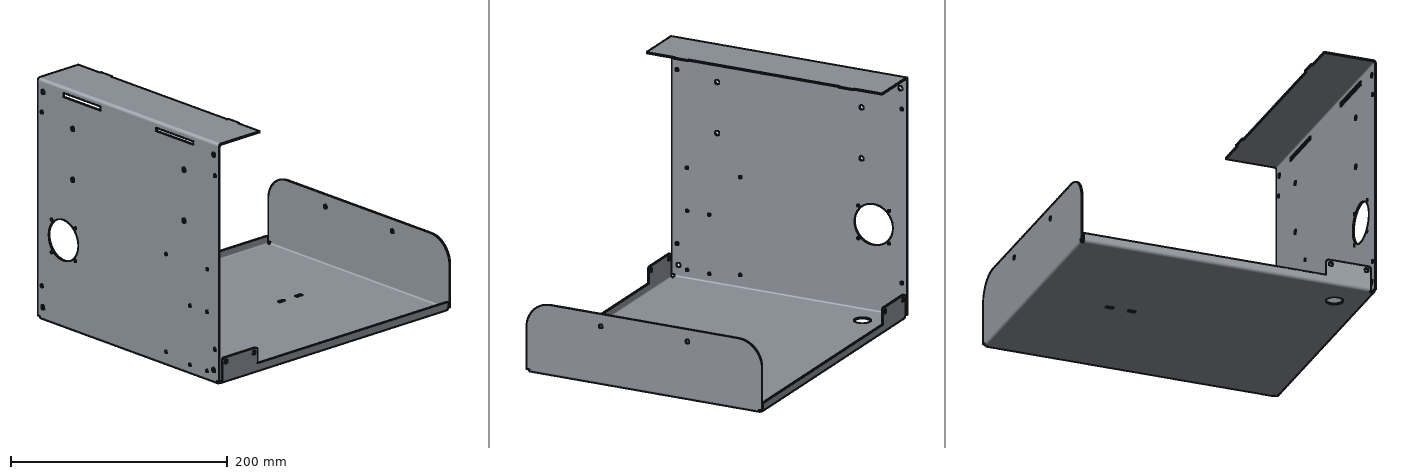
import cadquery as cq

thickness = 1.5
bend_inner_radius = 1.5
bend_radius = bend_inner_radius + thickness
width = 244.44
depth = 292.67
height = 236.5
floor_half_width = width / 2 - bend_radius
drill_length = 3 * thickness

tongue_reach = thickness
top_lip_depth = 51.5
tongue_width = 15.0
tongue_offset = 85.7

back_lip_height = 69.5
back_corner_radius = 25.0
back_hole_spacing = 90.0
back_hole_inset = 12.0
back_hole_diameter = 4.0

side_lip_height = 9.0
side_lip_front = 4.9
side_lip_back = depth - bend_radius
ear_height = 25.0
ear_length = 44.4
ear_corner_radius = 3.0
ear_hole_spacing = 35.5
ear_hole_height = 20.7
ear_hole_diameter = 4.2

floor_slot_width = 3.2
floor_slot_length = 7.0
floor_slot_spacing = 22.0
floor_slot_to_back = 88.0
floor_slot_centre_y = depth - floor_slot_to_back

cable_hole_diameter = 16.0
cable_hole_x = -90.0
cable_hole_y = 28.5

vent_length = 50.0
vent_bottom = 226.6
vent_offset = 62.5
left_vent_height = 4.0
right_vent_height = 3.2
corner_hole_diameter = 4.5
corner_hole_x = 115.2
corner_hole_z = (12.8, 224.2)
edge_hole_diameter = 3.2
edge_hole_x = 116.7
edge_hole_z = (33.5, 204.0)
mount_hole_diameter = 4.5
mount_hole_x = 75.0
mount_hole_z = (148.7, 198.7)
fan_x = -87.5
fan_z = 86.0
fan_diameter = 40.0
fan_hole_spacing = 32.0
fan_hole_diameter = 2.5
small_board_x = (83.2, 106.2)
small_board_z = (9.5, 67.5)
small_board_hole_diameter = 2.75
large_board_left = 51.0
large_board_right = 106.5
large_board_bottom = 13.7
large_board_top = 109.5
large_board_holes = [
    (large_board_left, large_board_top),
    (large_board_right, large_board_top),
    (large_board_left, large_board_bottom),
]
large_board_hole_diameter = 2.75


def box(x_range, y_range, z_range):
    """Axis-aligned box between the given limits."""
    size = [high - low for low, high in (x_range, y_range, z_range)]
    corner = (x_range[0], y_range[0], z_range[0])
    return cq.Workplane("XY").box(*size, centered=False).translate(corner)


def drill(x, y, z, diameter, length, direction):
    """Round cutter that starts at the given point."""
    cylinder = cq.Solid.makeCylinder(diameter / 2, length, cq.Vector(x, y, z), cq.Vector(*direction))
    return cq.Workplane(cylinder)


def front_drill(x, z, diameter):
    """Round cutter through the front wall only."""
    return drill(x, -thickness, z, diameter, drill_length, (0, 1, 0))


def make_channel():
    """Top lip, front wall, floor and back lip, bent from one strip of full width."""
    profile = (
        cq.Workplane("YZ")
        .moveTo(top_lip_depth, height)
        .lineTo(bend_radius, height)
        .radiusArc((0, height - bend_radius), -bend_radius)
        .lineTo(0, bend_radius)
        .radiusArc((bend_radius, 0), -bend_radius)
        .lineTo(depth - bend_radius, 0)
        .radiusArc((depth, bend_radius), -bend_radius)
        .lineTo(depth, back_lip_height)
        .lineTo(depth - thickness, back_lip_height)
        .lineTo(depth - thickness, bend_radius)
        .radiusArc((depth - bend_radius, thickness), bend_inner_radius)
        .lineTo(bend_radius, thickness)
        .radiusArc((thickness, bend_radius), bend_inner_radius)
        .lineTo(thickness, height - bend_radius)
        .radiusArc((bend_radius, height - thickness), bend_inner_radius)
        .lineTo(top_lip_depth, height - thickness)
        .close()
    )
    return profile.extrude(width / 2, both=True)


def trim_floor_edges(body):
    """Narrow the floor and its end bends to leave room for the side bends."""
    for low, high in ((-width / 2, -floor_half_width), (floor_half_width, width / 2)):
        body = body.cut(box((low, high), (0, depth), (0, bend_radius)))
    return body


def make_tongue(x):
    """Low tongue on the free edge of the top lip."""
    return box(
        (x - tongue_width / 2, x + tongue_width / 2),
        (top_lip_depth, top_lip_depth + tongue_reach),
        (height - thickness, height),
    )


def make_right_lip():
    """Side bend and lip on the +X edge, with the drilled ear at its front end."""
    outer_x = width / 2
    section = (
        cq.Workplane("XZ", origin=(0, side_lip_front, 0))
        .moveTo(floor_half_width, 0)
        .radiusArc((outer_x, bend_radius), -bend_radius)
        .lineTo(outer_x, side_lip_height)
        .lineTo(outer_x - thickness, side_lip_height)
        .lineTo(outer_x - thickness, bend_radius)
        .radiusArc((floor_half_width, thickness), bend_inner_radius)
        .close()
    )
    lip = section.extrude(side_lip_front - side_lip_back)

    ear_back = side_lip_front + ear_length
    ear = box((outer_x - thickness, outer_x), (side_lip_front, ear_back), (bend_radius, ear_height))
    ear = ear.edges("|X and >Z").fillet(ear_corner_radius)
    start_x = outer_x + thickness
    for side in (-1, 1):
        y = (side_lip_front + ear_back + side * ear_hole_spacing) / 2
        ear = ear.cut(drill(start_x, y, ear_hole_height, ear_hole_diameter, drill_length, (-1, 0, 0)))
    return lip.union(ear)


def round_back_lip(body):
    """Round the two upper corners of the back lip."""
    near_top_edge = cq.selectors.BoxSelector(
        (-width, depth - 2 * thickness, back_lip_height - thickness),
        (width, depth + thickness, back_lip_height + thickness),
    )
    return body.edges(near_top_edge).edges("|Y").fillet(back_corner_radius)


def cut_back_holes(body):
    """Two holes near the upper edge of the back lip."""
    for x in (-back_hole_spacing / 2, back_hole_spacing / 2):
        z = back_lip_height - back_hole_inset
        body = body.cut(drill(x, depth + thickness, z, back_hole_diameter, drill_length, (0, -1, 0)))
    return body


def cut_floor_slots(body):
    """Two short slots in line on the middle of the floor."""
    for side in (-1, 1):
        y = floor_slot_centre_y + side * floor_slot_spacing / 2
        body = body.cut(box(
            (-floor_slot_width / 2, floor_slot_width / 2),
            (y - floor_slot_length / 2, y + floor_slot_length / 2),
            (0, thickness),
        ))
    return body


def cut_cable_hole(body):
    """Round hole through the floor near its front left corner."""
    cutter = drill(cable_hole_x, cable_hole_y, -thickness, cable_hole_diameter, drill_length, (0, 0, 1))
    return body.cut(cutter)


def cut_vents(body):
    """Two long slots below the top bend of the front wall."""
    for x, vent_height in ((-vent_offset, left_vent_height), (vent_offset, right_vent_height)):
        body = body.cut(box(
            (x - vent_length / 2, x + vent_length / 2),
            (0, thickness),
            (vent_bottom, vent_bottom + vent_height),
        ))
    return body


def cut_front_holes(body):
    """All round openings of the front wall."""
    mirrored_patterns = (
        (corner_hole_x, corner_hole_z, corner_hole_diameter),
        (edge_hole_x, edge_hole_z, edge_hole_diameter),
        (mount_hole_x, mount_hole_z, mount_hole_diameter),
    )
    holes = [
        (side * x, z, diameter)
        for x, heights, diameter in mirrored_patterns
        for z in heights
        for side in (-1, 1)
    ]
    fan_offset = fan_hole_spacing / 2
    holes.append((fan_x, fan_z, fan_diameter))
    holes += [
        (fan_x + dx, fan_z + dz, fan_hole_diameter)
        for dx in (-fan_offset, fan_offset)
        for dz in (-fan_offset, fan_offset)
    ]
    holes += [(x, z, small_board_hole_diameter) for x in small_board_x for z in small_board_z]
    holes += [(x, z, large_board_hole_diameter) for x, z in large_board_holes]
    for x, z, diameter in holes:
        body = body.cut(front_drill(x, z, diameter))
    return body


result = trim_floor_edges(make_channel())
result = round_back_lip(result)
for tongue_x in (-tongue_offset, tongue_offset):
    result = result.union(make_tongue(tongue_x))
right_lip = make_right_lip()
result = result.union(right_lip).union(right_lip.mirror("YZ"))
result = cut_back_holes(result)
result = cut_floor_slots(result)
result = cut_cable_hole(result)
result = cut_vents(result)
result = cut_front_holes(result)